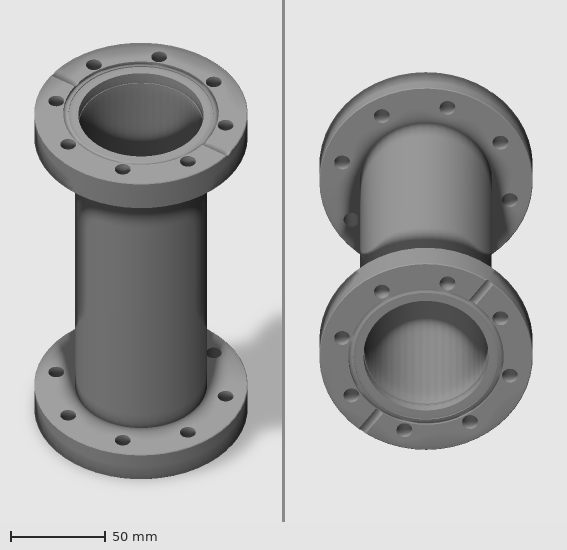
import cadquery as cq

length = 210.0

flange_diameter = 113.5
flange_thickness = 17.6
edge_chamfer = 0.5
bore_diameter = 66.5

recess_diameter = 82.5
recess_depth = 1.7
knife_diameter = 76.9
knife_depth = 0.6
inner_floor_depth = 1.3

bolt_count = 8
bolt_circle_diameter = 92.0
bolt_hole_diameter = 8.5

groove_width = 4.6
groove_depth = 1.0

tube_outer_diameter = 70.0
tube_inner_diameter = 66.0
socket_diameter = 70.4
socket_floor_depth = 8.0


def make_flange_body():
    """Revolved flange with its sealing face up, at Z = 0."""
    flange_radius = flange_diameter / 2
    recess_radius = recess_diameter / 2
    knife_radius = knife_diameter / 2
    bore_radius = bore_diameter / 2
    socket_radius = socket_diameter / 2
    return (
        cq.Workplane("XZ")
        .moveTo(recess_radius, 0)
        .lineTo(flange_radius - edge_chamfer, 0)
        .lineTo(flange_radius, -edge_chamfer)
        .lineTo(flange_radius, edge_chamfer - flange_thickness)
        .lineTo(flange_radius - edge_chamfer, -flange_thickness)
        .lineTo(socket_radius, -flange_thickness)
        .lineTo(socket_radius, -socket_floor_depth)
        .lineTo(bore_radius, -socket_floor_depth)
        .lineTo(bore_radius, -inner_floor_depth)
        .lineTo(knife_radius, -inner_floor_depth)
        .lineTo(knife_radius, -knife_depth)
        .lineTo(recess_radius, -recess_depth)
        .close()
        .revolve(360, (0, 0, 0), (0, 1, 0))
    )


def make_bolt_holes():
    """Cutters for the ring of through holes."""
    half_pitch_angle = 180 / bolt_count
    return (
        cq.Workplane("XY")
        .polarArray(bolt_circle_diameter / 2, half_pitch_angle, 360, bolt_count)
        .circle(bolt_hole_diameter / 2)
        .extrude(-flange_thickness)
    )


def make_leak_grooves():
    """Cutter for the two grooves from the recess to the rim, along X."""
    half_width = groove_width / 2
    groove = (
        cq.Workplane("YZ")
        .moveTo(-half_width, 0)
        .threePointArc((0, -groove_depth), (half_width, 0))
        .close()
        .extrude(flange_diameter / 2, both=True)
    )
    recess_core = cq.Workplane("XY").circle(recess_diameter / 2).extrude(-recess_depth)
    return groove.cut(recess_core)


def make_flange():
    """Complete flange with its sealing face up, at Z = 0."""
    return make_flange_body().cut(make_bolt_holes()).cut(make_leak_grooves())


def make_tube():
    """Plain tube reaching the socket floors of both flanges, centred on the origin."""
    tube_length = length - 2 * socket_floor_depth
    return (
        cq.Workplane("XY", origin=(0, 0, -tube_length / 2))
        .circle(tube_outer_diameter / 2)
        .circle(tube_inner_diameter / 2)
        .extrude(tube_length)
    )


tube = make_tube()

flanges = []
for turn_angle in (0, 180):
    flange = make_flange().translate((0, 0, length / 2))
    flanges.append(flange.rotate((0, 0, 0), (1, 0, 0), turn_angle))

result = cq.Compound.makeCompound([tube.val(), *[flange.val() for flange in flanges]])